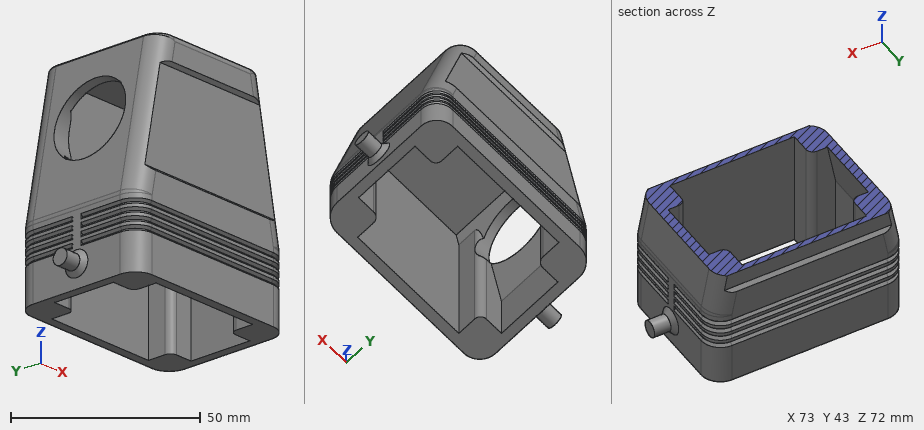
import cadquery as cq
import math

base_length = 60.0
body_width = 43.0
body_height = 72.0
top_length = 41.2
taper_start = 23.4
corner_radius = 6.0
shoulder_radius = 6.6
top_edge_radius = 2.3
cap_length = 42.5

wall = 3.0
chamber_length = 38.25
bay_width = 20.9
bay_mouth_radius = 2.2

entry_height = 50.65
entry_radius = 12.55
entry_depth = 8.75

recess_depth = 1.0
recess_bottom = 30.4
recess_top = 63.5

groove_count = 4
groove_bottom = 12.05
groove_pitch = 2.55
groove_height = 1.5
groove_depth = 0.7
bridge_width = 3.1

peg_span = 73.0
peg_height = 7.3
peg_radius = 2.5
peg_root_radius = 4.0
peg_root_length = 1.45

half_base = base_length / 2
half_top = top_length / 2
half_width = body_width / 2
taper_run = half_base - half_top
taper_rise = body_height - taper_start
taper_angle = math.atan2(taper_run, taper_rise)


def end_wall_x(z, inset=0.0):
    """Half-length at height z on the sloped end wall, moved inward square to the wall by inset."""
    return half_base - (z - taper_start) * math.tan(taper_angle) - inset / math.cos(taper_angle)


def tapered_block(width, inset=0.0):
    """Straight base with a tapered upper part, shrunk by inset at the ends and the top."""
    top = body_height - inset
    base = half_base - inset
    bend = taper_start - inset * math.tan(taper_angle / 2)
    upper = end_wall_x(top, inset)
    return (
        cq.Workplane("XZ")
        .polyline([(-base, 0), (base, 0), (base, bend), (upper, top), (-upper, top), (-base, bend)])
        .close()
        .extrude(width / 2, both=True)
    )


def make_body():
    block = tapered_block(body_width)
    block = block.edges("|Y").edges("<X or >X").edges("not <Z").fillet(shoulder_radius)
    block = block.faces("<Y or >Y").edges("not(<Z or >Z)").fillet(corner_radius)
    return block.cut(make_top_rounding())


def make_top_rounding():
    """Material removed above the rounded cap; the cap's arc meets each sloped end wall in a crisp edge."""
    layer = cq.Workplane("XY", origin=(0, 0, body_height - top_edge_radius))
    slab = layer.rect(base_length, body_width).extrude(top_edge_radius)
    cap = (
        cq.Workplane("XY")
        .rect(cap_length, body_width)
        .extrude(body_height)
        .edges("|Z")
        .fillet(corner_radius)
        .faces(">Z")
        .edges()
        .fillet(top_edge_radius)
    )
    return slab.cut(cap)


def make_cavity():
    cavity_height = body_height - wall
    cavity_limit = tapered_block(body_width - 2 * wall, wall)
    chamber = (
        cq.Workplane("XY")
        .rect(chamber_length, body_width - 2 * wall)
        .extrude(cavity_height)
    )
    cavity = tapered_block(bay_width, wall).union(chamber)
    for x_side in (-1, 1):
        for y_side in (-1, 1):
            corner = (x_side * chamber_length / 2, y_side * bay_width / 2)
            cavity = cavity.union(make_mouth_rounding(corner, x_side, y_side, cavity_height))
    return cavity.intersect(cavity_limit)


def make_mouth_rounding(corner, x_side, y_side, height):
    """Vertical cutter rounding the wall corner where an end bay opens into the chamber."""
    x, y = corner
    far_x = x + x_side * bay_mouth_radius
    far_y = y + y_side * bay_mouth_radius
    middle = bay_mouth_radius * (1 - math.sqrt(0.5))
    return (
        cq.Workplane("XY")
        .moveTo(x, y)
        .lineTo(far_x, y)
        .threePointArc((x + x_side * middle, y + y_side * middle), (x, far_y))
        .close()
        .extrude(height)
    )


def make_cable_entry():
    outward = cq.Vector(-math.cos(taper_angle), 0, math.sin(taper_angle))
    center = cq.Vector(-end_wall_x(entry_height), 0, entry_height)
    start = center + outward * entry_radius
    return cq.Workplane(
        cq.Solid.makeCylinder(entry_radius, entry_radius + entry_depth, start, outward * -1)
    )


def make_recess(side):
    """Cutter across the full length of one long side, with 45 degree end slopes."""
    floor = half_width - recess_depth
    return (
        cq.Workplane("YZ")
        .polyline([
            (side * half_width, recess_bottom),
            (side * floor, recess_bottom + recess_depth),
            (side * floor, recess_top - recess_depth),
            (side * half_width, recess_top),
        ])
        .close()
        .extrude(half_base, both=True)
    )


def make_groove(bottom):
    """V groove around the base, interrupted by a bridge at the middle of each end."""
    outer = (
        cq.Workplane("XY", origin=(0, 0, bottom))
        .rect(base_length, body_width)
        .extrude(groove_height)
    )
    half_groove = groove_height / 2
    slope = math.degrees(math.atan2(groove_depth, half_groove))
    outline = cq.Sketch().rect(base_length, body_width).vertices().fillet(corner_radius)
    lower = cq.Workplane("XY", origin=(0, 0, bottom)).placeSketch(outline).extrude(half_groove, taper=slope)
    upper = lower.mirror("XY", (0, 0, bottom + half_groove))
    bridge = (
        cq.Workplane("XY", origin=(0, 0, bottom))
        .rect(base_length, bridge_width)
        .extrude(groove_height)
    )
    return outer.cut(lower).cut(upper).cut(bridge)


def make_peg(side):
    """Round peg along X with a conical root, starting inside the end wall."""
    embed = half_base - wall / 2
    profile = [
        (embed, 0),
        (embed, peg_root_radius),
        (half_base, peg_root_radius),
        (half_base + peg_root_length, peg_radius),
        (peg_span / 2, peg_radius),
        (peg_span / 2, 0),
    ]
    return (
        cq.Workplane("XZ", origin=(0, 0, peg_height))
        .polyline([(side * x, radius) for x, radius in profile])
        .close()
        .revolve(360, (0, 0, 0), (1, 0, 0))
    )


result = make_body()
for side in (-1, 1):
    result = result.cut(make_recess(side))
for index in range(groove_count):
    result = result.cut(make_groove(groove_bottom + index * groove_pitch))
for side in (-1, 1):
    result = result.union(make_peg(side))
result = result.cut(make_cavity()).cut(make_cable_entry())